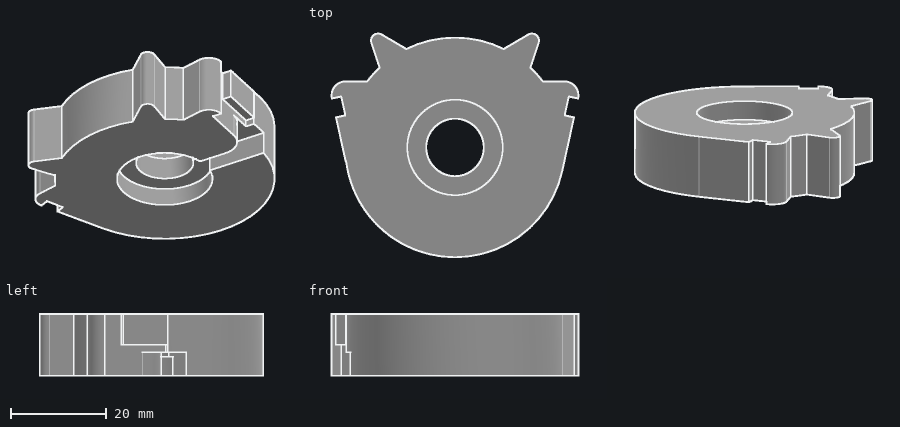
import cadquery as cq
import math

height = 13.0
body_radius = 23.0
bore_diameter = 12.0
recess_diameter = 20.0
recess_depth = 4.0

flank_lean = math.radians(12.4)
notch_start = 11.5
notch_end = 15.5
notch_depth = 2.0
notch_floor = body_radius - notch_depth

hook_radius = 3.0

ear_inner_root_angle = math.radians(63.7)
ear_outer_root_angle = math.radians(46.6)
ear_tip_radius = 1.5
ear_tip_x = 16.1
ear_tip_y = 22.35

undercut_start = 2.0
undercut_height = 6.5
slot_width = 4.0
slot_height = 5.0
slot_mouth_radius = 5.0

overshoot = 3.0


def flank_point(outward, along):
    """Point on the right side, given its distances across and along the flank."""
    x = outward * math.cos(flank_lean) + along * math.sin(flank_lean)
    y = along * math.cos(flank_lean) - outward * math.sin(flank_lean)
    return x, y


def left_flank_point(outward, along):
    x, y = flank_point(outward, along)
    return -x, y


def rim_point(angle):
    return body_radius * math.cos(angle), body_radius * math.sin(angle)


def tangent_point(root, turn):
    """Point where a line from root touches the ear tip circle, on the side given by turn (+1 or -1)."""
    dx = root[0] - ear_tip_x
    dy = root[1] - ear_tip_y
    angle = math.atan2(dy, dx) + turn * math.acos(ear_tip_radius / math.hypot(dx, dy))
    return (
        ear_tip_x + ear_tip_radius * math.cos(angle),
        ear_tip_y + ear_tip_radius * math.sin(angle),
    )


def make_plate_half(flank_start):
    """Right half of the plate; its flat flank begins flank_start past the tangent point."""
    rim_end_outward = math.sqrt(body_radius**2 - flank_start**2)
    rim_end = flank_point(rim_end_outward, flank_start)
    lower_rim_middle = rim_point((math.atan2(rim_end[1], rim_end[0]) - math.pi / 2) / 2)

    hook_start = flank_point(body_radius, notch_end)
    hook_x, hook_y = flank_point(body_radius - hook_radius, notch_end)
    hook_middle_angle = (math.pi / 2 - flank_lean) / 2
    hook_middle = (
        hook_x + hook_radius * math.cos(hook_middle_angle),
        hook_y + hook_radius * math.sin(hook_middle_angle),
    )
    shoulder_y = hook_y + hook_radius
    shoulder_root_angle = math.asin(shoulder_y / body_radius)

    ear_outer_root = rim_point(ear_outer_root_angle)
    ear_inner_root = rim_point(ear_inner_root_angle)
    tip_reach = 1 + ear_tip_radius / math.hypot(ear_tip_x, ear_tip_y)
    ear_top = (ear_tip_x * tip_reach, ear_tip_y * tip_reach)

    outline = cq.Workplane("XY").moveTo(0, -body_radius)
    outline = outline.threePointArc(lower_rim_middle, rim_end)
    if flank_start > 0:
        outline = outline.lineTo(*flank_point(body_radius, flank_start))
    return (
        outline
        .lineTo(*flank_point(body_radius, notch_start))
        .lineTo(*flank_point(notch_floor, notch_start))
        .lineTo(*flank_point(notch_floor, notch_end))
        .lineTo(*hook_start)
        .threePointArc(hook_middle, (hook_x, shoulder_y))
        .lineTo(*rim_point(shoulder_root_angle))
        .threePointArc(rim_point((shoulder_root_angle + ear_outer_root_angle) / 2), ear_outer_root)
        .lineTo(*tangent_point(ear_outer_root, 1))
        .threePointArc(ear_top, tangent_point(ear_inner_root, -1))
        .lineTo(*ear_inner_root)
        .threePointArc(rim_point((ear_inner_root_angle + math.pi / 2) / 2), (0, body_radius))
        .close()
        .extrude(height)
    )


def make_undercut():
    """Removes the lower part of the left flank tab, down to the notch floor."""
    outer = body_radius + overshoot
    corners = [
        left_flank_point(notch_floor, undercut_start),
        left_flank_point(outer, undercut_start),
        left_flank_point(outer, notch_start),
        left_flank_point(notch_floor, notch_start),
    ]
    return cq.Workplane("XY").polyline(corners).close().extrude(undercut_height)


def make_slot():
    """Radial slot from the bore to the left flank, with one rounded mouth corner."""
    half_width = slot_width / 2
    outer = body_radius + overshoot
    arc_outward = notch_floor - slot_mouth_radius
    arc_along = half_width + slot_mouth_radius
    arc_middle_offset = slot_mouth_radius * math.sqrt(0.5)
    return (
        cq.Workplane("XY")
        .moveTo(*left_flank_point(0, -half_width))
        .lineTo(*left_flank_point(outer, -half_width))
        .lineTo(*left_flank_point(outer, arc_along))
        .lineTo(*left_flank_point(notch_floor, arc_along))
        .threePointArc(
            left_flank_point(arc_outward + arc_middle_offset, arc_along - arc_middle_offset),
            left_flank_point(arc_outward, half_width),
        )
        .lineTo(*left_flank_point(0, half_width))
        .close()
        .extrude(slot_height)
    )


def make_bore():
    bore = cq.Workplane("XY").circle(bore_diameter / 2).extrude(height)
    for bottom in (0, height - recess_depth):
        recess = cq.Workplane("XY", origin=(0, 0, bottom)).circle(recess_diameter / 2).extrude(recess_depth)
        bore = bore.union(recess)
    return bore


right_half = make_plate_half(0)
left_half = make_plate_half(undercut_start).mirror("YZ")
plate = right_half.union(left_half)

for cutter in (make_undercut(), make_slot(), make_bore()):
    plate = plate.cut(cutter)

result = plate